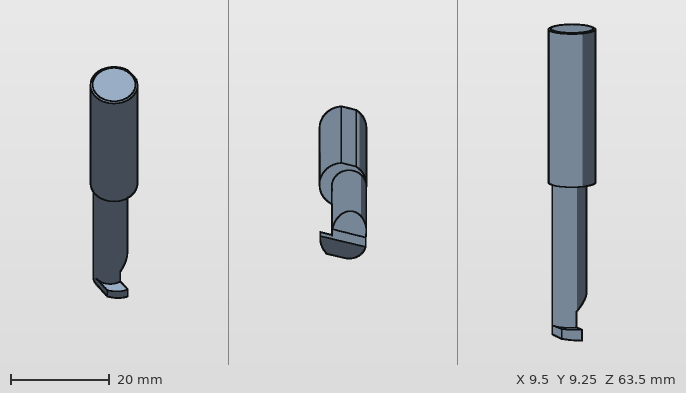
import cadquery as cq

length = 63.5
shank_radius = 4.75
shank_length = 31.75
shank_flat_y = 4.5
shank_chamfer_radial = 0.45
shank_chamfer_axial = 0.2

neck_radius = 3.5
neck_x = neck_radius - shank_radius

face_y = 0.0
face_height = 5.5

tooth_height = 2.3
flank_radius = 4.75
tooth_back_x = 2.55
tooth_corner_x = 2.9
tooth_corner_y = -3.1

clearance_rise_x = 0.25
clearance_rise_y = 0.2

shank_bottom = length - shank_length


def make_shank():
    """Round shank with a chamfered end and a narrow flat on +Y."""
    body = cq.Workplane("XY").workplane(offset=shank_bottom).circle(shank_radius).extrude(shank_length)
    body = body.faces(">Z").edges().chamfer(shank_chamfer_axial, shank_chamfer_radial)
    flat_limit = cq.Workplane("XY").box(
        2 * shank_radius, shank_radius + shank_flat_y, length, centered=(True, False, False)
    )
    return body.intersect(flat_limit.translate((0, -shank_radius, 0)))


def make_neck():
    """Slender neck cut to half its section at the tip, with a 45 degree run-out."""
    neck = cq.Workplane("XY").center(neck_x, 0).circle(neck_radius).extrude(shank_bottom)
    half_cut = (
        cq.Workplane("YZ")
        .polyline([
            (face_y, 0),
            (face_y, face_height),
            (shank_radius, face_height + shank_radius - face_y),
            (shank_radius, 0),
        ])
        .close()
        .extrude(shank_radius, both=True)
    )
    return neck.cut(half_cut)


def make_tooth():
    """Tooth reaching from the neck to the +X side, with a curved flank."""
    return (
        cq.Workplane("XY")
        .moveTo(neck_x, face_y)
        .lineTo(neck_x, -neck_radius)
        .lineTo(tooth_back_x, -neck_radius)
        .lineTo(tooth_corner_x, tooth_corner_y)
        .radiusArc((shank_radius, face_y), -flank_radius)
        .close()
        .extrude(tooth_height)
    )


def make_clearance():
    """Half-space below the end plane, which rises toward -X and -Y."""
    normal = (clearance_rise_x / (2 * shank_radius), clearance_rise_y / neck_radius, 1)
    corner = (shank_radius, face_y, 0)
    end_plane = cq.Plane(origin=corner, xDir=(1, 0, -normal[0]), normal=normal)
    return cq.Workplane(end_plane).circle(4 * shank_radius).extrude(-shank_radius)


result = make_shank().union(make_neck()).union(make_tooth()).cut(make_clearance())